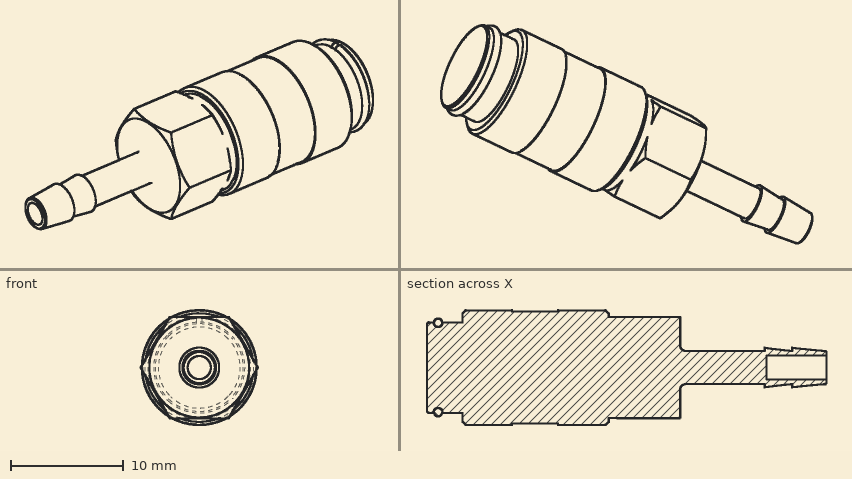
import cadquery as cq
import math

length = 35.5

stem_radius = 1.5
barb_radius = 1.78
barb_shoulders = [3.05, 5.5]
tip_chamfer = 0.1
bore_radius = 1.03
bore_depth = 5.32

hex_across_flats = 9.0
hex_start = 13.0
hex_end = 18.55
hex_chamfer_angle = 30
hex_face_radius = 4.45
stem_fillet = 0.5

land_width = 1.35
neck_radius = math.hypot(hex_across_flats / 2, land_width / 2)

sleeve_radius = 5.1
sleeve_start = 19.35
sleeve_end = 32.35
sleeve_start_chamfer = 0.3
sleeve_end_chamfer = 0.3
waist_depth = 0.1
waist_start = 23.85
waist_end = 27.95

tube_radius = 4.05
tube_chamfer = 0.15
ring_outer_radius = 4.35
ring_wire_radius = 0.373
ring_position = 34.5
ring_gap = 0.55


def revolve_profile(points):
    """Turn a closed (radius, Y) outline about the Y axis."""
    return cq.Workplane("XY").polyline(points).close().revolve(360, (0, 0), (0, 1))


def cylinder(radius, start, end):
    return revolve_profile([(0, start), (radius, start), (radius, end), (0, end)])


def make_stem():
    """Stem with barbs tapering toward the tip and a concave fillet at the hexagon."""
    outline = cq.Workplane("XY").lineTo(stem_radius - tip_chamfer, 0).lineTo(stem_radius, tip_chamfer)
    for shoulder in barb_shoulders:
        outline = outline.lineTo(barb_radius, shoulder).lineTo(stem_radius, shoulder)
    diagonal = stem_fillet * (1 - math.sqrt(0.5))
    outline = (
        outline.lineTo(stem_radius, hex_start - stem_fillet)
        .threePointArc(
            (stem_radius + diagonal, hex_start - diagonal),
            (stem_radius + stem_fillet, hex_start),
        )
        .lineTo(0, hex_start)
        .close()
    )
    return outline.revolve(360, (0, 0), (0, 1))


def make_hex_prism(start, end):
    """Hexagon prism along Y with two corners on the X axis."""
    corner_diameter = hex_across_flats / math.cos(math.pi / 6)
    plane = cq.Workplane("XZ", origin=(0, start, 0))
    return plane.polygon(6, corner_diameter).extrude(start - end)


def make_hexagon():
    """Hexagon whose corners are cut by a cone at both ends."""
    corner_radius = hex_across_flats / 2 / math.cos(math.pi / 6)
    slope = math.tan(math.radians(hex_chamfer_angle))
    start_drop = (corner_radius - hex_face_radius) * slope
    end_drop = (corner_radius - neck_radius) * slope
    envelope = revolve_profile([
        (0, hex_start),
        (hex_face_radius, hex_start),
        (corner_radius, hex_start + start_drop),
        (corner_radius, hex_end - end_drop),
        (neck_radius, hex_end),
        (0, hex_end),
    ])
    return make_hex_prism(hex_start, hex_end).intersect(envelope)


def make_neck():
    """Round neck on which the hexagon flats continue as narrow lands."""
    return cylinder(neck_radius, hex_end, sleeve_start).intersect(make_hex_prism(hex_end, sleeve_start))


def make_sleeve():
    waist_radius = sleeve_radius - waist_depth
    return revolve_profile([
        (0, sleeve_start),
        (sleeve_radius - sleeve_start_chamfer, sleeve_start),
        (sleeve_radius, sleeve_start + sleeve_start_chamfer),
        (sleeve_radius, waist_start),
        (waist_radius, waist_start),
        (waist_radius, waist_end),
        (sleeve_radius, waist_end),
        (sleeve_radius, sleeve_end - sleeve_end_chamfer),
        (sleeve_radius - sleeve_end_chamfer, sleeve_end),
        (0, sleeve_end),
    ])


def make_tube():
    return revolve_profile([
        (0, sleeve_end),
        (tube_radius, sleeve_end),
        (tube_radius, length - tube_chamfer),
        (tube_radius - tube_chamfer, length),
        (0, length),
    ])


def make_torus():
    """Full wire loop, which is also the shape of the ring groove."""
    wire_center = ring_outer_radius - ring_wire_radius
    wire = cq.Workplane("XY").center(wire_center, ring_position).circle(ring_wire_radius)
    return wire.revolve(360, (-wire_center, 0), (-wire_center, 1))


def make_coupling():
    body = make_stem().union(make_hexagon())
    body = body.union(make_neck()).union(make_sleeve()).union(make_tube())
    return body.cut(cylinder(bore_radius, 0, bore_depth)).cut(make_torus()).clean()


def make_retaining_ring():
    """Wire ring split at the top (+Z)."""
    gap_cutter = cq.Workplane("XY").box(
        ring_gap, 2 * ring_outer_radius, 2 * ring_outer_radius, centered=(True, True, False)
    )
    return make_torus().cut(gap_cutter.translate((0, ring_position, 0)))


coupling = make_coupling()
retaining_ring = make_retaining_ring()

result = cq.Compound.makeCompound([coupling.val(), retaining_ring.val()])